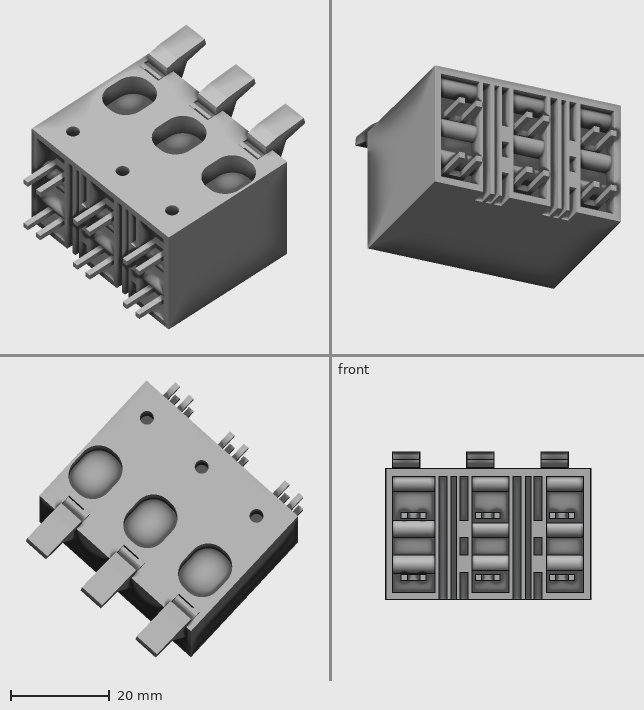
import cadquery as cq


pole_count = 3
pole_pitch = 15.05
pole_offsets = [pole * pole_pitch for pole in range(pole_count)]

housing_width = 41.55
housing_depth = 32.2
housing_height = 26.6

recess_depth = 4.0
recess_top = 24.95
pocket_bottom = 1.45
pocket_right = 10.0
pocket_left = 2.5
first_pocket_left = 1.4
wide_slot = (10.77, 12.45)
narrow_slot = (13.25, 14.4)
window = (15.05, 16.65)

ridge_radius = 1.75
ridge_axis_depth = 2.85
top_ridge_z = 23.65
middle_ridge_z = 14.35
lower_ridge_z = 7.25
middle_ridge_flat_z = 15.55
lower_ridge_flat_z = 5.85
extra_ridge_drop = 0.2
extra_ridge_advance = 0.3

wire_hole_x = 6.35
wire_hole_y = 20.95
wire_hole_length = 11.2
wire_hole_width = 9.3
wire_hole_corner_radius = 4.15
wire_hole_depth = 5.0
test_hole_x = 6.25
test_hole_y = 5.65
test_hole_diameter = 2.8
test_hole_depth = wire_hole_depth

lever_width = 5.55
lever_left = 1.4
lever_side_gap = 0.1
lever_end_gap = 0.32
lever_tab_width = 1.5
lever_step_height = 0.15
notch_length = 4.05
notch_depth = 10.4

pin_left = 3.15
pin_width = 5.05
pin_thickness = 1.25
pin_projection = 5.0
pin_bottoms = (3.9, 16.4)


def box(x_range, y_range, z_range):
    """Axis-aligned box between the given limits."""
    lengths = [high - low for low, high in (x_range, y_range, z_range)]
    corner = (x_range[0], y_range[0], z_range[0])
    return cq.Workplane("XY").box(*lengths, centered=False).translate(corner)


def recess(x_range, z_range):
    """Rectangular recess in the pin face."""
    return box(x_range, (0, recess_depth), z_range)


def round_ridge(x_range, axis_y, axis_z):
    """Cylinder along X, sunk into the back wall of its pocket."""
    return (
        cq.Workplane("YZ", origin=(x_range[0], axis_y, axis_z))
        .circle(ridge_radius)
        .extrude(x_range[1] - x_range[0])
    )


def flat_ridge(x_range, axis_y, axis_z, z_range):
    """Round-nosed ridge with a flat top and underside that run into the back wall."""
    nose = round_ridge(x_range, axis_y, axis_z).intersect(box(x_range, (0, axis_y), z_range))
    web = box(x_range, (axis_y, recess_depth), z_range)
    return nose.union(web)


def pocket_x_range(offset):
    left = first_pocket_left if offset == 0 else offset + pocket_left
    return (left, offset + pocket_right)


def pocket_ridges(offset):
    """The ridges that cross one pocket."""
    x_range = pocket_x_range(offset)
    top_ridge = flat_ridge(
        x_range, ridge_axis_depth, top_ridge_z, (top_ridge_z - ridge_radius, recess_top)
    )
    middle_ridge = round_ridge(x_range, ridge_axis_depth, middle_ridge_z)
    lower_ridge = flat_ridge(
        x_range, ridge_axis_depth, lower_ridge_z, (lower_ridge_flat_z, lower_ridge_z + ridge_radius)
    )
    if offset == 0:
        extra_y = ridge_axis_depth - extra_ridge_advance
        extra_z = lower_ridge_z - extra_ridge_drop
        extra_ridge = round_ridge(x_range, extra_y, extra_z)
        extra_web = box(x_range, (extra_y, recess_depth), (extra_z - ridge_radius, extra_z))
        lower_ridge = lower_ridge.union(extra_ridge).union(extra_web)
    else:
        middle_ridge = flat_ridge(
            x_range,
            ridge_axis_depth,
            middle_ridge_z,
            (middle_ridge_z - ridge_radius, middle_ridge_flat_z),
        )
    return [top_ridge, middle_ridge, lower_ridge]


def divider_recesses(offset):
    """Two slots and a column of three windows between neighbouring pockets."""
    bar_upper = (middle_ridge_z - ridge_radius, middle_ridge_z + ridge_radius)
    bar_lower = (lower_ridge_z - ridge_radius, lower_ridge_z + ridge_radius)
    openings = [
        (wide_slot, (0, recess_top)),
        (narrow_slot, (0, recess_top)),
        (window, (bar_upper[1], recess_top)),
        (window, (bar_lower[1], bar_upper[0])),
        (window, (0, bar_lower[0])),
    ]
    return [
        recess((offset + sides[0], offset + sides[1]), z_range) for sides, z_range in openings
    ]


def wire_hole(offset):
    """Blind rectangular hole with large rounded corners."""
    floor = housing_height - wire_hole_depth
    return (
        cq.Workplane("XY", origin=(offset + wire_hole_x, wire_hole_y, floor))
        .rect(wire_hole_width, wire_hole_length)
        .extrude(wire_hole_depth)
        .edges("|Z")
        .fillet(wire_hole_corner_radius)
    )


def test_hole(offset):
    floor = housing_height - test_hole_depth
    return (
        cq.Workplane("XY", origin=(offset + test_hole_x, test_hole_y, floor))
        .circle(test_hole_diameter / 2)
        .extrude(test_hole_depth)
    )


def lever_notch(offset):
    left = offset + lever_left - lever_side_gap
    right = offset + lever_left + lever_width + lever_side_gap
    return box(
        (left, right),
        (housing_depth - notch_length, housing_depth),
        (housing_height - notch_depth, housing_height),
    )


def make_housing():
    body = box((0, housing_width), (0, housing_depth), (0, housing_height))
    for offset in pole_offsets:
        body = body.cut(recess(pocket_x_range(offset), (pocket_bottom, recess_top)))
        for ridge in pocket_ridges(offset):
            body = body.union(ridge)
        body = body.cut(wire_hole(offset)).cut(test_hole(offset)).cut(lever_notch(offset))
    for offset in pole_offsets[:-1]:
        for opening in divider_recesses(offset):
            body = body.cut(opening)
    return body


def make_lever(offset):
    """Angled finger lever standing in its notch, with a tab against the notch end."""
    front = lever_end_gap - notch_length
    outline = [
        (8.65, 3.35),
        (1.35, 2.65),
        (-1.55, 1.85),
        (-1.75, 1.0),
        (-1.75, -0.45),
        (-2.3, -0.35),
        (-3.0, lever_step_height),
        (front, lever_step_height),
        (front, -notch_depth),
        (0, -notch_depth),
        (3.9, 0.1),
        (9.05, 1.55),
    ]
    left = offset + lever_left
    body = (
        cq.Workplane("YZ", origin=(left, housing_depth, housing_height))
        .polyline(outline)
        .close()
        .extrude(lever_width)
    )
    tab = box(
        (left, left + lever_tab_width),
        (housing_depth - notch_length, housing_depth + front),
        (housing_height - notch_depth, housing_height + lever_step_height),
    )
    return body.union(tab)


def make_pin(offset, bottom):
    """Two-legged solder pin whose bridge rests against the back wall of the pocket."""
    left = offset + pin_left
    right = left + pin_width
    z_range = (bottom, bottom + pin_thickness)
    blank = box((left, right), (-pin_projection, recess_depth), z_range)
    gap = box(
        (left + pin_thickness, right - pin_thickness),
        (-pin_projection, recess_depth - pin_thickness),
        z_range,
    )
    return blank.cut(gap)


housing = make_housing()
levers = [make_lever(offset) for offset in pole_offsets]
pins = [make_pin(offset, bottom) for offset in pole_offsets for bottom in pin_bottoms]

result = cq.Compound.makeCompound(
    [housing.val(), *[lever.val() for lever in levers], *[pin.val() for pin in pins]]
)